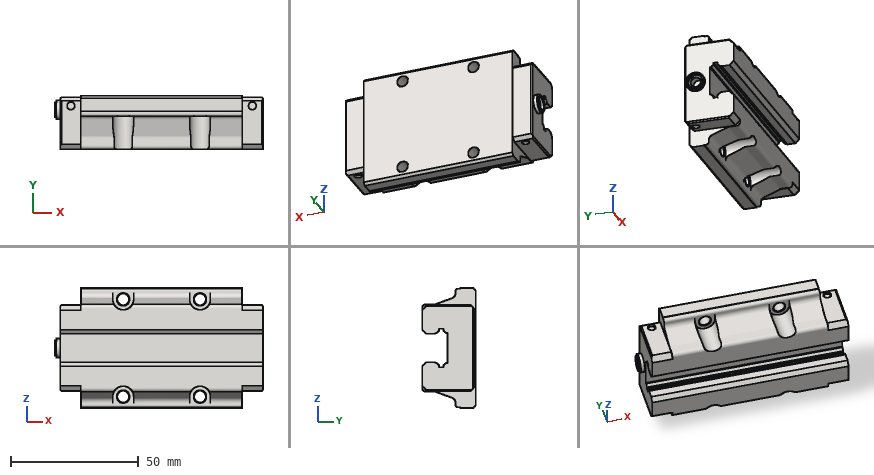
import cadquery as cq
import math

height = 21.0
width = 47.0
total_length = 81.4

nipple_y = 15.5
nipple_length = 2.0
nipple_radius = 3.75
nipple_lip_length = 0.6
nipple_lip_radius = 3.0
nipple_lip_wall = 0.1
nipple_recess_depth = 1.6
nipple_bore_radius = 2.0
nipple_bore_depth = 4.9

body_length = total_length - nipple_length
body_center_x = nipple_length + body_length / 2

block_length = 63.0
block_front_width = 34.1
block_half_width = block_front_width / 2
block_front_radius = 1.5
flange_front_y = 13.0
flange_back_chamfer = 1.05
flange_edge_radius = 1.0
flange_rim_y = 14.9
flange_rim_step = 0.25
slope_angle = math.radians(20)
slope_foot_y = 5.0
slope_fillet_radius = 2.1

slot_depth = 9.85
slot_half_width = 5.5
slot_mouth_chamfer = 1.6
race_front_y = 4.9
race_mid_y = 5.8
race_mid_z = 5.95
race_back_y = 9.4
race_back_z = 5.8
groove_front_y = 6.7
groove_back_y = 8.3
groove_side_z = 6.75
groove_top_z = 7.5

pick_margin = 0.01

cap_width = 33.6
cap_half_width = cap_width / 2
cap_back_setback = 0.61
cap_back_y = height - cap_back_setback
cap_back_chamfer = 1.5
cap_front_chamfer = 2.0
cap_end_chamfer = 0.6
cap_hole_diameter = 3.0
cap_hole_depth = 1.0
cap_hole_spacing = 70.9
cap_hole_y = 17.0

hole_spacing_x = 30.0
hole_spacing_z = 38.0
hole_diameter = 4.55
hole_chamfer = 0.25
spot_face_diameter = 8.1
spot_face_y = flange_front_y


def yz_plane(x):
    """Workplane at the given X, with local axes Y and Z and its normal along +X."""
    return cq.Workplane("YZ", origin=(x, 0, 0))


def fillet_profile_corner(solid, y, z, radius):
    """Round the lengthwise edges that pass through (y, z) and (y, -z)."""
    for side in (1, -1):
        corner = cq.selectors.BoxSelector(
            (-total_length, y - pick_margin, side * z - pick_margin),
            (2 * total_length, y + pick_margin, side * z + pick_margin),
        )
        solid = solid.edges(corner).fillet(radius)
    return solid


def make_block():
    """Flanged steel block, before the slot and the holes are cut."""
    half_width = width / 2
    rim_z = half_width - flange_rim_step
    slope_top_z = block_half_width + (flange_front_y - slope_foot_y) * math.tan(slope_angle)
    upper_half = [
        (0, block_half_width),
        (slope_foot_y, block_half_width),
        (flange_front_y, slope_top_z),
        (flange_front_y, rim_z),
        (flange_rim_y, rim_z),
        (flange_rim_y, half_width),
        (height - flange_back_chamfer, half_width),
        (height, half_width - flange_back_chamfer),
    ]
    lower_half = [(y, -z) for y, z in reversed(upper_half)]
    block = (
        yz_plane(body_center_x - block_length / 2)
        .polyline(upper_half + lower_half)
        .close()
        .extrude(block_length)
    )
    block = fillet_profile_corner(block, 0, block_half_width, block_front_radius)
    block = fillet_profile_corner(block, slope_foot_y, block_half_width, slope_fillet_radius)
    block = fillet_profile_corner(block, flange_front_y, slope_top_z, slope_fillet_radius)
    return fillet_profile_corner(block, flange_front_y, rim_z, flange_edge_radius)


def make_caps():
    """End caps as one bar over the full body length; the block hides its middle."""
    caps = cq.Workplane("XY").box(
        body_length, cap_back_y, cap_width, centered=(True, False, True)
    )
    caps = caps.translate((body_center_x, 0, 0))
    caps = caps.faces("<X or >X").edges("not <Y").chamfer(cap_end_chamfer)
    front_corner = [
        (0, cap_half_width),
        (cap_front_chamfer, cap_half_width),
        (0, cap_half_width - cap_front_chamfer),
    ]
    back_corner = [
        (cap_back_y, cap_half_width),
        (cap_back_y - cap_back_chamfer, cap_half_width),
        (cap_back_y, cap_half_width - cap_back_chamfer),
    ]
    for corner in (front_corner, back_corner):
        wedge = yz_plane(nipple_length).polyline(corner).close().extrude(body_length)
        caps = caps.cut(wedge).cut(wedge.mirror("XY"))
    return caps


def cut_cap_holes(part):
    """Shallow blind holes in both side faces of each end cap."""
    for side_x in (1, -1):
        for side_z in (1, -1):
            x = body_center_x + side_x * cap_hole_spacing / 2
            mouth = cq.Vector(x, cap_hole_y, side_z * cap_half_width)
            inward = cq.Vector(0, 0, -side_z)
            hole = cq.Solid.makeCylinder(cap_hole_diameter / 2, cap_hole_depth, mouth, inward)
            part = part.cut(cq.Workplane(hole))
    return part


def make_rail_slot():
    """Slot for the rail with a relieved ball race in each wall; mirrored about Z = 0."""
    half = (
        yz_plane(nipple_length)
        .moveTo(0, 0)
        .lineTo(0, slot_half_width + slot_mouth_chamfer)
        .lineTo(slot_mouth_chamfer, slot_half_width)
        .lineTo(race_front_y, slot_half_width)
        .threePointArc((race_mid_y, race_mid_z), (groove_front_y, groove_side_z))
        .lineTo(groove_front_y, groove_top_z)
        .lineTo(groove_back_y, groove_top_z)
        .lineTo(groove_back_y, groove_side_z)
        .lineTo(race_back_y, race_back_z)
        .lineTo(slot_depth, race_back_z)
        .lineTo(slot_depth, 0)
        .close()
        .extrude(body_length)
    )
    return half.union(half.mirror("XY"))


def cut_mounting_holes(part):
    """Through holes with a countersunk rim and a spot face scooped out of the sloped side."""
    radius = hole_diameter / 2
    spot_radius = spot_face_diameter / 2
    rim_radius = radius + hole_chamfer
    for side_x in (1, -1):
        for side_z in (1, -1):
            x = body_center_x + side_x * hole_spacing_x / 2
            z = side_z * hole_spacing_z / 2
            front = cq.Workplane("XZ", origin=(x, 0, z))
            scoop = front.circle(spot_radius).extrude(-spot_face_y)
            scoop = scoop.union(
                front.center(0, side_z * spot_radius / 2)
                .rect(spot_face_diameter, spot_radius)
                .extrude(-spot_face_y)
            )
            bore = front.circle(radius).extrude(-height)
            rim = cq.Solid.makeCone(
                rim_radius, radius, hole_chamfer, cq.Vector(x, spot_face_y, z), cq.Vector(0, 1, 0)
            )
            part = part.cut(scoop).cut(bore).cut(cq.Workplane(rim))
    return part


def x_cylinder(x_start, x_end, radius):
    """Cylinder along X on the nipple axis."""
    return yz_plane(x_start).center(nipple_y, 0).circle(radius).extrude(x_end - x_start)


def add_nipple(part):
    """Stepped grease nipple on the -X end face, with a wide recess and a narrower blind bore."""
    collar = x_cylinder(nipple_lip_length, nipple_length, nipple_radius)
    lip = x_cylinder(0, nipple_length, nipple_lip_radius)
    recess = x_cylinder(0, nipple_recess_depth, nipple_lip_radius - nipple_lip_wall)
    bore = x_cylinder(0, nipple_bore_depth, nipple_bore_radius)
    return part.union(collar).union(lip).cut(recess).cut(bore)


body = make_block().union(make_caps())
body = body.cut(make_rail_slot())
body = cut_mounting_holes(body)
body = cut_cap_holes(body)
result = add_nipple(body)